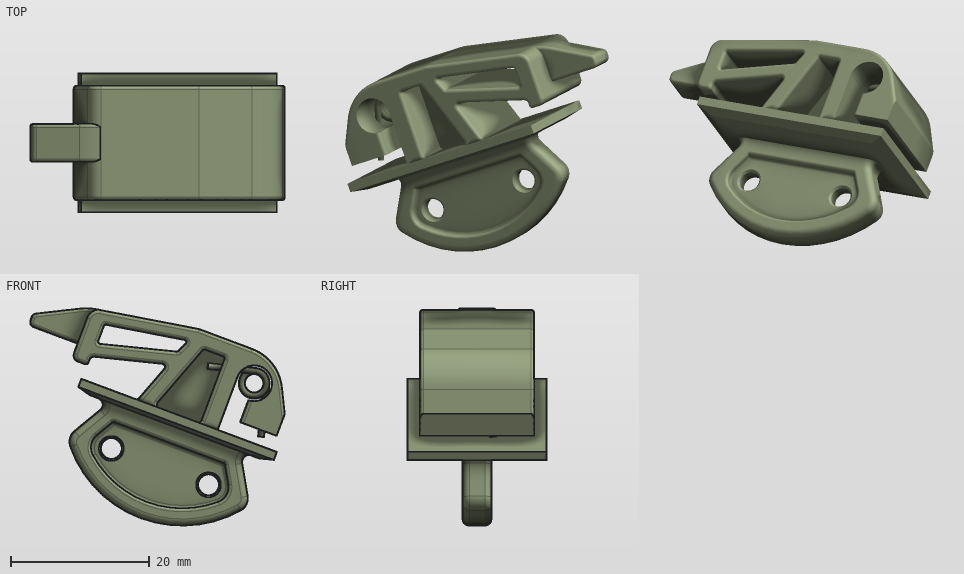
import cadquery as cq
import math

TILT = 20.5

PLATE_LENGTH = 30.2
PLATE_WIDTH = 20.1
RIM_THICKNESS = 1.25
BEVEL_INSET = 2.05
BEVEL_HEIGHT = 0.55
PLATE_BOTTOM = -(RIM_THICKNESS + BEVEL_HEIGHT)

FRAME_WIDTH = 16.55
FRAME_TOP = 12.7
EDGE_FILLET = 0.5
NOSE_X = -17.4
NOSE_RADIUS = 1.75
FOOT_X = -14.95
FOOT_BOTTOM = 2.15
FOOT_RADIUS = 0.95
FOOT_HEEL_RADIUS = 0.4
FOOT_ROOT_RADIUS = 0.7
BEND_X = -1.69
ARM_SLOPE = math.radians(9.6)
ARM_UNDER_SLOPE = math.radians(14.6)
STRUT_BASE_X = -6.4
STRUT_LEAN = math.radians(20.2)
STRUT_FOOT_RADIUS = 0.5
STRUT_FLANGE_LENGTH = 1.5
EMBED_DEPTH = 1.0
STRUT_TOP_Z = 6.32
STRUT_TOP_RADIUS = 0.45
FLANGE_X = STRUT_BASE_X - STRUT_FLANGE_LENGTH
STRUT_TOP_X = STRUT_BASE_X + STRUT_TOP_Z * math.tan(STRUT_LEAN)
TAIL_X = 14.25
TAIL_CORNER_Z = 5.55
TAIL_ARC_X = 6.47
TAIL_ARC_RADIUS = 6.8
TAIL_ARC_ANGLE = math.radians(65)

BORE_X = 8.54
BORE_Z = 8.14
BORE_RADIUS = 2.57
MOUTH_LEFT_X = BORE_X - BORE_RADIUS
MOUTH_RIGHT_X = 8.6

SLOT_LEFT_X = -14.7
SLOT_TOP_LEFT_Z = 8.51
SLOT_BOTTOM_LEFT_Z = 5.59
SLOT_TOP_RIGHT = (-2.51, 10.56)
SLOT_BOTTOM_RIGHT = (-3.45, 8.55)
SLOT_CORNER_RADIUS = 0.3

WEB_THICKNESS = 2.0
POCKET_TOP = 10.2
POCKET_RIGHT_X = 3.29
POCKET_BASE_X = -3.79
POCKET_CORNER_RADIUS = 0.3

BEAK_WIDTH = 5.5
BEAK_FILLET = 0.45
BEAK_TIP_X = -24.95
BEAK_BOTTOM = 4.57
BEAK_TIP_TOP = 6.33
BEAK_SLOPE = math.radians(27)
BEAK_BEND_X = -18.9
BEAK_ROOT_X = -16.0
BEAK_TIP_RADIUS = 0.8

TAB_THICKNESS = 4.2
TAB_FILLET = 1.0
TAB_BOTTOM = -15.87
TAB_ARC_RADIUS = 17.2
TAB_FLANK = math.radians(30)
TAB_ROOT_X = 10.12
TAB_ROOT_RADIUS = 0.97
TAB_CORNER_RADIUS = 2.0
TAB_FLARE_LENGTH = 1.7
TAB_TOP = -0.4

RECESS_DEPTH = 0.95
RECESS_FILLET = 0.45
RECESS_TOP = -4.2
RECESS_OFFSET = 2.5
RECESS_CORNER_RADIUS = 2.3
RECESS_TOP_CORNER_RADIUS = 0.3

TAB_HOLE_X = 7.5
TAB_HOLE_Z = -7.92
TAB_HOLE_DIAMETER = 3.0
TAB_HOLE_CHAMFER = 0.3

WIRE_RADIUS = 0.45
COIL_RADIUS = 1.78
COIL_PITCH = 1.0
COIL_START_ANGLE = 104.6
COIL_TURNS = 3.25
LEG_LENGTHS = (6.95, 7.6)

SELECTION_GAP = 0.02


def extruded(outline, width):
    """Close an outline drawn in the XZ plane and extrude it evenly about Y = 0."""
    return outline.close().extrude(width / 2, both=True)


def box_between(low, high):
    return cq.selectors.BoxSelector(low, high, boundingbox=True)


def round_corner(body, corner, radius):
    """Fillet the edge that runs along Y through one corner of the outline."""
    x, z = corner
    far = PLATE_WIDTH
    low = (x - SELECTION_GAP, -far, z - SELECTION_GAP)
    high = (x + SELECTION_GAP, far, z + SELECTION_GAP)
    return body.edges(box_between(low, high)).fillet(radius)


def plate():
    rim = (
        cq.Workplane("XY")
        .box(PLATE_LENGTH, PLATE_WIDTH, RIM_THICKNESS, centered=(True, True, False))
        .translate((0, 0, -RIM_THICKNESS))
    )
    bevel = (
        cq.Workplane("XY", origin=(0, 0, -RIM_THICKNESS))
        .rect(PLATE_LENGTH, PLATE_WIDTH)
        .workplane(offset=-BEVEL_HEIGHT)
        .rect(PLATE_LENGTH - 2 * BEVEL_INSET, PLATE_WIDTH - 2 * BEVEL_INSET)
        .loft(ruled=True)
    )
    return rim.union(bevel)


def arm_top_z(x):
    """Height of the arm's sloping upper face."""
    return FRAME_TOP - (BEND_X - x) * math.tan(ARM_SLOPE)


def frame_block():
    """Frame whose strut base is sunk into the plate, where the strut's fillets run out."""
    strut_base = (STRUT_BASE_X, 0)
    strut_top = (STRUT_TOP_X, STRUT_TOP_Z)
    foot_root = (FOOT_X, STRUT_TOP_Z - (STRUT_TOP_X - FOOT_X) * math.tan(ARM_UNDER_SLOPE))
    foot_heel = (FOOT_X, FOOT_BOTTOM)
    foot_toe = (NOSE_X, FOOT_BOTTOM)
    nose = (NOSE_X, arm_top_z(NOSE_X))
    tail_center_z = FRAME_TOP - TAIL_ARC_RADIUS

    def tail_arc_point(angle):
        return (
            TAIL_ARC_X + TAIL_ARC_RADIUS * math.sin(angle),
            tail_center_z + TAIL_ARC_RADIUS * math.cos(angle),
        )

    block = extruded(
        cq.Workplane("XZ")
        .moveTo(FLANGE_X, -EMBED_DEPTH)
        .lineTo(FLANGE_X, 0)
        .lineTo(*strut_base)
        .lineTo(*strut_top)
        .lineTo(*foot_root)
        .lineTo(*foot_heel)
        .lineTo(*foot_toe)
        .lineTo(*nose)
        .lineTo(BEND_X, FRAME_TOP)
        .lineTo(TAIL_ARC_X, FRAME_TOP)
        .threePointArc(tail_arc_point(TAIL_ARC_ANGLE / 2), tail_arc_point(TAIL_ARC_ANGLE))
        .lineTo(TAIL_X, TAIL_CORNER_Z)
        .lineTo(TAIL_X, FOOT_BOTTOM)
        .lineTo(MOUTH_RIGHT_X, FOOT_BOTTOM)
        .lineTo(MOUTH_RIGHT_X, BORE_Z)
        .lineTo(MOUTH_LEFT_X, BORE_Z)
        .lineTo(MOUTH_LEFT_X, -EMBED_DEPTH),
        FRAME_WIDTH,
    )
    for corner, radius in (
        (strut_base, STRUT_FOOT_RADIUS),
        (strut_top, STRUT_TOP_RADIUS),
        (foot_root, FOOT_ROOT_RADIUS),
        (foot_heel, FOOT_HEEL_RADIUS),
        (foot_toe, FOOT_RADIUS),
        (nose, NOSE_RADIUS),
    ):
        block = round_corner(block, corner, radius)
    return fillet_frame_edges(block)


def stays_sharp(edge):
    """True for the side edges of the sunk strut base, the seat's left side and the tail's end."""
    center = edge.Center()
    extent = edge.BoundingBox()
    if extent.zlen < SELECTION_GAP:
        in_seat_or_tail = center.x > MOUTH_LEFT_X and center.z < FRAME_TOP - SELECTION_GAP
        return in_seat_or_tail or center.z < -SELECTION_GAP
    if extent.xlen < SELECTION_GAP:
        return any(abs(center.x - x) < SELECTION_GAP for x in (FLANGE_X, MOUTH_LEFT_X, TAIL_X))
    return False


def fillet_frame_edges(block):
    side_edges = block.faces("<Y or >Y").edges().vals()
    rounded_edges = [edge for edge in side_edges if not stays_sharp(edge)]
    return block.newObject(rounded_edges).fillet(EDGE_FILLET)


def fillet_rims(body, width, low, high, radius):
    """Round the edges of openings in the two side faces, within an X-Z range from low to high."""
    for y in (-width / 2, width / 2):
        low_corner = (low[0] - SELECTION_GAP, y - SELECTION_GAP, low[1] - SELECTION_GAP)
        high_corner = (high[0] + SELECTION_GAP, y + SELECTION_GAP, high[1] + SELECTION_GAP)
        body = body.edges(box_between(low_corner, high_corner)).fillet(radius)
    return body


def cut_slot(body):
    corners = [
        (SLOT_LEFT_X, SLOT_BOTTOM_LEFT_Z),
        (SLOT_LEFT_X, SLOT_TOP_LEFT_Z),
        SLOT_TOP_RIGHT,
        SLOT_BOTTOM_RIGHT,
    ]
    slot = extruded(cq.Workplane("XZ").polyline(corners), FRAME_WIDTH)
    slot = slot.edges("|Y").fillet(SLOT_CORNER_RADIUS)
    low = (SLOT_LEFT_X, SLOT_BOTTOM_LEFT_Z)
    return fillet_rims(body.cut(slot), FRAME_WIDTH, low, SLOT_TOP_RIGHT, EDGE_FILLET)


def cut_pocket(body):
    top_left = (POCKET_BASE_X + POCKET_TOP * math.tan(STRUT_LEAN), POCKET_TOP)
    top_right = (POCKET_RIGHT_X, POCKET_TOP)
    corners = [(POCKET_BASE_X, 0), top_left, top_right, (POCKET_RIGHT_X, 0)]
    pocket = extruded(cq.Workplane("XZ").polyline(corners), FRAME_WIDTH)
    for corner in (top_left, top_right):
        pocket = round_corner(pocket, corner, POCKET_CORNER_RADIUS)
    for x in (POCKET_BASE_X, POCKET_RIGHT_X):
        pocket = round_corner(pocket, (x, 0), STRUT_FOOT_RADIUS)
    web = cq.Workplane("XY").box(PLATE_LENGTH, WEB_THICKNESS, PLATE_LENGTH)
    return fillet_rims(body.cut(pocket.cut(web)), FRAME_WIDTH, (POCKET_BASE_X, 0), top_right, EDGE_FILLET)


def cut_bore(body):
    bore = cq.Workplane("XZ").center(BORE_X, BORE_Z).circle(BORE_RADIUS)
    return body.cut(bore.extrude(FRAME_WIDTH, both=True))


def frame():
    return cut_bore(cut_pocket(cut_slot(frame_block())))


def beak():
    bend_z = BEAK_TIP_TOP + (BEAK_BEND_X - BEAK_TIP_X) * math.tan(BEAK_SLOPE)
    bottom = (BEAK_TIP_X, BEAK_BOTTOM)
    tip_top = (BEAK_TIP_X, BEAK_TIP_TOP)
    body = extruded(
        cq.Workplane("XZ")
        .moveTo(BEAK_ROOT_X, BEAK_BOTTOM)
        .lineTo(*bottom)
        .lineTo(*tip_top)
        .lineTo(BEAK_BEND_X, bend_z)
        .tangentArcPoint((BEAK_ROOT_X, arm_top_z(BEAK_ROOT_X)), relative=False),
        BEAK_WIDTH,
    )
    for corner in (bottom, tip_top):
        body = round_corner(body, corner, BEAK_TIP_RADIUS)
    return body.faces("<Y or >Y").edges("not(>X)").fillet(BEAK_FILLET)


def flank_arc_corner(root_x, arc_radius, arc_bottom):
    """Point where a flank leaning outwards from the plate meets an arc centred on X = 0."""
    center_z = arc_bottom + arc_radius
    root_z = PLATE_BOTTOM - center_z
    dx = math.sin(TAB_FLANK)
    dz = -math.cos(TAB_FLANK)
    along = root_x * dx + root_z * dz
    reach = math.sqrt(along**2 + arc_radius**2 - root_x**2 - root_z**2) - along
    return root_x + reach * dx, center_z + root_z + reach * dz


def tab_blank():
    corner_x, corner_z = flank_arc_corner(TAB_ROOT_X, TAB_ARC_RADIUS, TAB_BOTTOM)
    flare_x = TAB_ROOT_X + TAB_FLARE_LENGTH
    body = extruded(
        cq.Workplane("XZ")
        .moveTo(-flare_x, TAB_TOP)
        .lineTo(-flare_x, PLATE_BOTTOM)
        .lineTo(-TAB_ROOT_X, PLATE_BOTTOM)
        .lineTo(-corner_x, corner_z)
        .threePointArc((0, TAB_BOTTOM), (corner_x, corner_z))
        .lineTo(TAB_ROOT_X, PLATE_BOTTOM)
        .lineTo(flare_x, PLATE_BOTTOM)
        .lineTo(flare_x, TAB_TOP),
        TAB_THICKNESS,
    )
    for side in (-1, 1):
        body = round_corner(body, (side * TAB_ROOT_X, PLATE_BOTTOM), TAB_ROOT_RADIUS)
        body = round_corner(body, (side * corner_x, corner_z), TAB_CORNER_RADIUS)
    return body.faces("<Y or >Y").edges("not(>Z or |Z)").fillet(TAB_FILLET)


def recess_cutter():
    """Cutter for the recess on the -Y face, rounded around its floor."""
    arc_bottom = TAB_BOTTOM + RECESS_OFFSET
    arc_radius = TAB_ARC_RADIUS - RECESS_OFFSET
    root_x = TAB_ROOT_X - RECESS_OFFSET / math.cos(TAB_FLANK)
    corner_x, corner_z = flank_arc_corner(root_x, arc_radius, arc_bottom)
    top_x = root_x + (PLATE_BOTTOM - RECESS_TOP) * math.tan(TAB_FLANK)
    body = (
        cq.Workplane("XZ", origin=(0, -TAB_THICKNESS / 2, 0))
        .moveTo(-top_x, RECESS_TOP)
        .lineTo(-corner_x, corner_z)
        .threePointArc((0, arc_bottom), (corner_x, corner_z))
        .lineTo(top_x, RECESS_TOP)
        .close()
        .extrude(-RECESS_DEPTH)
    )
    for side in (-1, 1):
        body = round_corner(body, (side * top_x, RECESS_TOP), RECESS_TOP_CORNER_RADIUS)
        body = round_corner(body, (side * corner_x, corner_z), RECESS_CORNER_RADIUS)
    return body.faces(">Y").edges().fillet(RECESS_FILLET)


def cut_recesses(body):
    cutter = recess_cutter()
    body = body.cut(cutter).cut(cutter.mirror("XZ"))
    extent = cutter.val().BoundingBox()
    low = (extent.xmin, extent.zmin)
    high = (extent.xmax, extent.zmax)
    return fillet_rims(body, TAB_THICKNESS, low, high, RECESS_FILLET)


def cut_tab_holes(body):
    floor_y = TAB_THICKNESS / 2 - RECESS_DEPTH
    radius = TAB_HOLE_DIAMETER / 2
    profile = [
        (0, -floor_y),
        (radius + TAB_HOLE_CHAMFER, -floor_y),
        (radius, -floor_y + TAB_HOLE_CHAMFER),
        (radius, floor_y - TAB_HOLE_CHAMFER),
        (radius + TAB_HOLE_CHAMFER, floor_y),
        (0, floor_y),
    ]
    drill = cq.Workplane("XY").polyline(profile).close().revolve(360, (0, 0, 0), (0, 1, 0))
    for side in (-1, 1):
        body = body.cut(drill.translate((side * TAB_HOLE_X, 0, TAB_HOLE_Z)))
    return body


def tab():
    return cut_tab_holes(cut_recesses(tab_blank()))


def spring():
    """Coil along Y with a straight tangent leg at each end."""
    height = COIL_PITCH * COIL_TURNS
    turn = 2 * math.pi * COIL_TURNS
    climb = COIL_PITCH / (2 * math.pi)
    path = cq.Wire.makeHelix(COIL_PITCH, height, COIL_RADIUS)
    start = cq.Vector(COIL_RADIUS, 0, 0)
    end = cq.Vector(COIL_RADIUS * math.cos(turn), COIL_RADIUS * math.sin(turn), height)
    start_direction = cq.Vector(0, -COIL_RADIUS, -climb)
    end_direction = cq.Vector(-COIL_RADIUS * math.sin(turn), COIL_RADIUS * math.cos(turn), climb)

    section = cq.Workplane(cq.Plane(start, (1, 0, 0), start_direction)).circle(WIRE_RADIUS)
    body = section.sweep(cq.Workplane(path), isFrenet=True)
    legs = zip((start, end), (start_direction, end_direction), LEG_LENGTHS)
    for point, direction, length in legs:
        body = body.union(cq.Workplane(cq.Solid.makeCylinder(WIRE_RADIUS, length, point, direction)))
    return (
        body.translate((0, 0, -height / 2))
        .rotate((0, 0, 0), (1, 0, 0), -90)
        .rotate((0, 0, 0), (0, 1, 0), -COIL_START_ANGLE)
        .translate((BORE_X, 0, BORE_Z))
    )


def clip(spring_body):
    body = frame().union(plate()).union(beak()).union(tab())
    return body.cut(spring_body)


def tilted(body):
    return body.rotate((0, 0, 0), (0, 1, 0), TILT)


spring_level = spring()
clip_level = clip(spring_level)
result = cq.Compound.makeCompound([tilted(clip_level).val(), tilted(spring_level).val()])